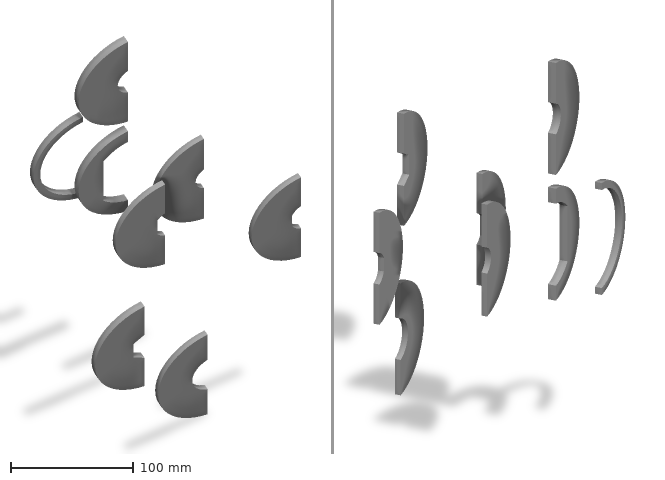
import cadquery as cq
import math

DISC_RADIUS = 51.2
AXIS_OFFSET = 5.3

THIN = 5.3
MEDIUM = 6.3
THICK = 7.3

PITCH_Y = 25.5
PITCH_Z = 114.3

RING_INNER_RADIUS = 45.0
WINDOW_RADIUS = 37.5
WINDOW_FLAT_DEPTH = 22.8
SMALL_BORE_RADIUS = 13.0
MEDIUM_BORE_RADIUS = 15.0
LARGE_BORE_RADIUS = 19.5
FLATTED_BORE_RADIUS = 15.2
SHALLOW_FLAT_DEPTH = 7.0
DEEP_FLAT_DEPTH = 8.5
HEX_ACROSS_FLATS = 30.7

RING_X = 0
WINDOW_PLATE_X = 29.7
MEDIUM_BORE_PLATE_X = WINDOW_PLATE_X
SMALL_BORE_PLATE_X = 68.5
SHALLOW_FLAT_PLATE_X = 96.0
DEEP_FLAT_PLATE_X = 142.0
LARGE_BORE_PLATE_X = 169.8
HEX_PLATE_X = 202.0


def cylinder(radius, thickness):
    """Disc on the common axis, with one face at x = 0."""
    return cq.Workplane("YZ").center(AXIS_OFFSET, 0).circle(radius).extrude(thickness)


def flatted_cylinder(radius, flat_depth, thickness):
    """Disc cut off by a flat parallel to the cut face."""
    kept_side = (
        cq.Workplane("YZ")
        .center(radius - flat_depth, 0)
        .rect(2 * radius, 2 * radius)
        .extrude(thickness)
    )
    return cylinder(radius, thickness).intersect(kept_side)


def hexagon(across_flats, thickness):
    """Hexagonal prism with two flats parallel to the cut face."""
    across_corners = across_flats / math.cos(math.pi / 6)
    return (
        cq.Workplane("YZ")
        .center(AXIS_OFFSET, 0)
        .transformed(rotate=(0, 0, 30))
        .polygon(6, across_corners)
        .extrude(thickness)
    )


def plate(opening, thickness, x, y_steps=0, z_steps=0):
    """Disc segment with an opening, moved to its place in the layout."""
    half_space = (
        cq.Workplane("YZ")
        .center(-DISC_RADIUS, 0)
        .rect(2 * DISC_RADIUS, 2 * DISC_RADIUS)
        .extrude(thickness)
    )
    segment = cylinder(DISC_RADIUS, thickness).intersect(half_space).cut(opening)
    return segment.translate((x, y_steps * PITCH_Y, z_steps * PITCH_Z))


ring = plate(cylinder(RING_INNER_RADIUS, MEDIUM), MEDIUM, RING_X, y_steps=-1)

window_plate = plate(
    flatted_cylinder(WINDOW_RADIUS, WINDOW_FLAT_DEPTH, THICK), THICK, WINDOW_PLATE_X
)

medium_bore_plate = plate(
    cylinder(MEDIUM_BORE_RADIUS, THICK), THICK, MEDIUM_BORE_PLATE_X, z_steps=1
)

small_bore_plate = plate(
    cylinder(SMALL_BORE_RADIUS, THIN), THIN, SMALL_BORE_PLATE_X, y_steps=2
)

shallow_flat_plate = plate(
    flatted_cylinder(FLATTED_BORE_RADIUS, SHALLOW_FLAT_DEPTH, THIN), THIN, SHALLOW_FLAT_PLATE_X
)

deep_flat_plate = plate(
    flatted_cylinder(FLATTED_BORE_RADIUS, DEEP_FLAT_DEPTH, THIN), THIN, DEEP_FLAT_PLATE_X, y_steps=4
)

large_bore_plate = plate(
    cylinder(LARGE_BORE_RADIUS, THIN), THIN, LARGE_BORE_PLATE_X, z_steps=-1
)

hex_plate = plate(hexagon(HEX_ACROSS_FLATS, MEDIUM), MEDIUM, HEX_PLATE_X, y_steps=-3)

result = cq.Compound.makeCompound([
    ring.val(),
    window_plate.val(),
    medium_bore_plate.val(),
    small_bore_plate.val(),
    shallow_flat_plate.val(),
    deep_flat_plate.val(),
    large_bore_plate.val(),
    hex_plate.val(),
])